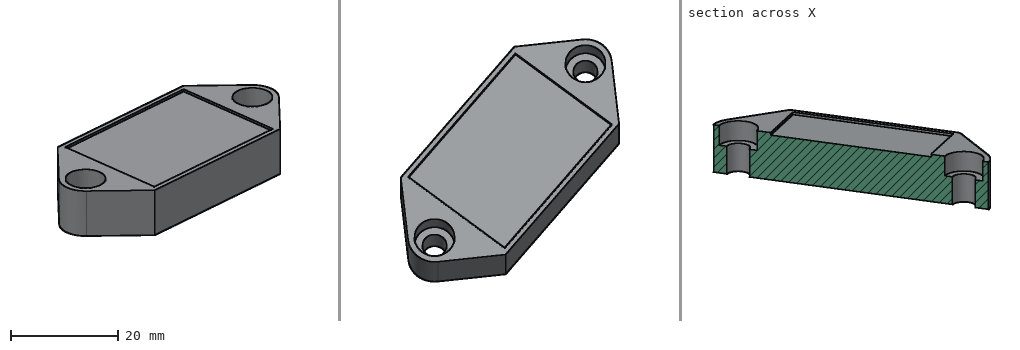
import cadquery as cq
import math

length = 55
width = 25.0
height = 9.5
side_length = 33.95

ear_radius = 4.95
hole_spacing = length - 2 * ear_radius
hole_diameter = 4.5
counterbore_diameter = 7.5
counterbore_depth = 3.9

recess_width = 23.0
recess_length = 32.0
recess_depth = 0.5


def make_body():
    """Elongated hexagon whose two ends are rounded tangentially around the holes."""
    shoulder_x = width / 2
    shoulder_y = side_length / 2
    ear_y = hole_spacing / 2

    drop = ear_y - shoulder_y
    distance = math.hypot(shoulder_x, drop)
    angle = math.acos(ear_radius / distance) - math.atan2(drop, shoulder_x)
    tangent_x = ear_radius * math.cos(angle)
    tangent_y = ear_y + ear_radius * math.sin(angle)

    return (
        cq.Workplane("XY")
        .moveTo(shoulder_x, -shoulder_y)
        .lineTo(shoulder_x, shoulder_y)
        .lineTo(tangent_x, tangent_y)
        .threePointArc((0, length / 2), (-tangent_x, tangent_y))
        .lineTo(-shoulder_x, shoulder_y)
        .lineTo(-shoulder_x, -shoulder_y)
        .lineTo(-tangent_x, -tangent_y)
        .threePointArc((0, -length / 2), (tangent_x, -tangent_y))
        .close()
        .extrude(height)
    )


def cut_mounting_holes(body):
    """Counterbored through hole in each ear."""
    return (
        body.faces(">Z")
        .workplane(origin=(0, 0, height))
        .pushPoints([(0, -hole_spacing / 2), (0, hole_spacing / 2)])
        .cboreHole(hole_diameter, counterbore_diameter, counterbore_depth)
    )


def cut_recess(body):
    """Shallow rectangular pocket centred on the top face."""
    return (
        body.faces(">Z")
        .workplane(origin=(0, 0, height))
        .rect(recess_width, recess_length)
        .cutBlind(-recess_depth)
    )


result = cut_recess(cut_mounting_holes(make_body()))